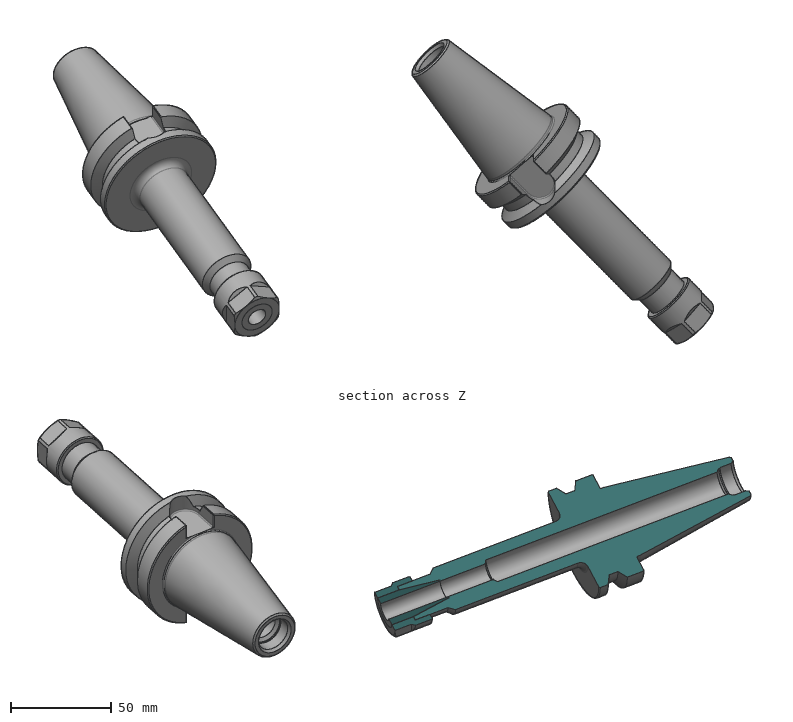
import cadquery as cq
import math

TOTAL_LENGTH = 195.5

GAUGE_X = 65.5
GAUGE_DIAMETER = 44.4
TAPER_RATIO = 7 / 24
TAPER_TIP_CHAMFER = 0.8
TAPER_ROOT_FILLET = 0.5

BORE_MOUTH_DIAMETER = 19.5
COUNTERBORE_DIAMETER = 17.5
COUNTERBORE_DEPTH = 7.8
PILOT_DIAMETER = 17.0
PILOT_END_X = 8.6
BORE_DIAMETER = 13.9
PASSAGE_DIAMETER = 9.8
BORE_END_X = 136.8
MOUTH_HALF_ANGLE = 30.0
STEP_HALF_ANGLE = 45.0
DRILL_POINT_HALF_ANGLE = 59.0

FLANGE_FACE_X = 67.2
FLANGE_END_X = 92.0
FLANGE_DIAMETER = 63.0
FLANGE_CHAMFER = 0.5
GROOVE_ROOT_DIAMETER = 53.0
GROOVE_CENTER_X = 81.9
GROOVE_ROOT_WIDTH = 4.7
GROOVE_WALL_ANGLE = 30.0
KEYWAY_WIDTH = 16.0
KEYWAY_TIP_X = 88.5
KEYWAY_FLOOR_HEIGHT = 22.5
KEYWAY_FLOOR_FILLET = 0.5
KEYWAY_RIM_CHAMFER = 0.49

SHANK_DIAMETER = 27.4
SHANK_END_X = 162.8
SHANK_FILLET = 3.7
NOSE_DIAMETER = 22.0
NOSE_START_X = 165.7
NOSE_END_X = 183.7

NUT_DIAMETER = 28.0
NUT_START_X = 175.3
NUT_REAR_CHAMFER = 0.5
NUT_FRONT_CHAMFER = 0.8
HEX_ACROSS_FLATS = 25.0
HEX_START_X = 186.5
HEX_RUNOUT_ANGLE = 42.0
HEX_SIDES = 6

COLLET_DIAMETER = 17.0
COLLET_REAR_DIAMETER = 11.1
COLLET_HALF_ANGLE = 8.0
COLLET_CONE_LENGTH = (COLLET_DIAMETER - COLLET_REAR_DIAMETER) / 2 / math.tan(math.radians(COLLET_HALF_ANGLE))
COLLET_REAR_X = NOSE_END_X - COLLET_CONE_LENGTH


def revolve_about_axis(closed_profile):
    """Turn a closed profile, drawn as (x, radius), about the X axis."""
    return closed_profile.revolve(360, (0, 0, 0), (1, 0, 0))


def turned(points):
    """Solid of revolution about X with straight-sided profile points (x, radius)."""
    return revolve_about_axis(cq.Workplane("XY").polyline(points).close())


def cone_length(large_diameter, small_diameter, half_angle):
    """Axial length of a cone between two diameters."""
    return (large_diameter - small_diameter) / 2 / math.tan(math.radians(half_angle))


def holder_blank():
    """Taper, flange, shank and nose without the bore and keyways."""
    gauge_radius = GAUGE_DIAMETER / 2
    tip_radius = gauge_radius - GAUGE_X * TAPER_RATIO / 2
    chamfer_end_radius = tip_radius + TAPER_TIP_CHAMFER * TAPER_RATIO / 2
    flange_radius = FLANGE_DIAMETER / 2
    root_radius = GROOVE_ROOT_DIAMETER / 2
    shank_radius = SHANK_DIAMETER / 2
    nose_radius = NOSE_DIAMETER / 2
    half_root = GROOVE_ROOT_WIDTH / 2
    half_mouth = half_root + (flange_radius - root_radius) * math.tan(math.radians(GROOVE_WALL_ANGLE))
    profile = (
        cq.Workplane("XY")
        .moveTo(0, 0)
        .lineTo(0, tip_radius - TAPER_TIP_CHAMFER)
        .lineTo(TAPER_TIP_CHAMFER, chamfer_end_radius)
        .lineTo(GAUGE_X, gauge_radius)
        .lineTo(FLANGE_FACE_X - TAPER_ROOT_FILLET, gauge_radius)
        .radiusArc((FLANGE_FACE_X, gauge_radius + TAPER_ROOT_FILLET), -TAPER_ROOT_FILLET)
        .lineTo(FLANGE_FACE_X, flange_radius - FLANGE_CHAMFER)
        .lineTo(FLANGE_FACE_X + FLANGE_CHAMFER, flange_radius)
        .lineTo(GROOVE_CENTER_X - half_mouth, flange_radius)
        .lineTo(GROOVE_CENTER_X - half_root, root_radius)
        .lineTo(GROOVE_CENTER_X + half_root, root_radius)
        .lineTo(GROOVE_CENTER_X + half_mouth, flange_radius)
        .lineTo(FLANGE_END_X - FLANGE_CHAMFER, flange_radius)
        .lineTo(FLANGE_END_X, flange_radius - FLANGE_CHAMFER)
        .lineTo(FLANGE_END_X, shank_radius + SHANK_FILLET)
        .radiusArc((FLANGE_END_X + SHANK_FILLET, shank_radius), -SHANK_FILLET)
        .lineTo(SHANK_END_X, shank_radius)
        .lineTo(NOSE_START_X, nose_radius)
        .lineTo(NOSE_END_X, nose_radius)
        .lineTo(NOSE_END_X, 0)
        .close()
    )
    return revolve_about_axis(profile)


def holder_bore():
    """Stepped through bore that ends in the conical collet seat."""
    mouth_end_x = cone_length(BORE_MOUTH_DIAMETER, COUNTERBORE_DIAMETER, MOUTH_HALF_ANGLE)
    step_end_x = PILOT_END_X + cone_length(PILOT_DIAMETER, BORE_DIAMETER, STEP_HALF_ANGLE)
    point_end_x = BORE_END_X + cone_length(BORE_DIAMETER, PASSAGE_DIAMETER, DRILL_POINT_HALF_ANGLE)
    return turned([
        (0, 0),
        (0, BORE_MOUTH_DIAMETER / 2),
        (mouth_end_x, COUNTERBORE_DIAMETER / 2),
        (COUNTERBORE_DEPTH, COUNTERBORE_DIAMETER / 2),
        (COUNTERBORE_DEPTH, PILOT_DIAMETER / 2),
        (PILOT_END_X, PILOT_DIAMETER / 2),
        (step_end_x, BORE_DIAMETER / 2),
        (BORE_END_X, BORE_DIAMETER / 2),
        (point_end_x, PASSAGE_DIAMETER / 2),
        (COLLET_REAR_X, PASSAGE_DIAMETER / 2),
        (COLLET_REAR_X, COLLET_REAR_DIAMETER / 2),
        (NOSE_END_X, COLLET_DIAMETER / 2),
        (NOSE_END_X, 0),
    ])


def keyway_cutter():
    """Round-ended slot cutter above the axis, with a filleted floor and a flared front mouth."""
    half_width = KEYWAY_WIDTH / 2
    flange_radius = FLANGE_DIAMETER / 2
    slot_start_x = GAUGE_X - KEYWAY_WIDTH
    slot_length = KEYWAY_TIP_X - slot_start_x
    slot = (
        cq.Workplane("XY")
        .workplane(offset=KEYWAY_FLOOR_HEIGHT)
        .center((slot_start_x + KEYWAY_TIP_X) / 2, 0)
        .slot2D(slot_length, KEYWAY_WIDTH)
        .extrude(flange_radius - KEYWAY_FLOOR_HEIGHT)
        .faces("<Z")
        .edges()
        .fillet(KEYWAY_FLOOR_FILLET)
    )
    flare = (
        cq.Workplane("XY")
        .workplane(offset=KEYWAY_FLOOR_HEIGHT)
        .polyline([
            (FLANGE_FACE_X, -half_width - KEYWAY_RIM_CHAMFER),
            (FLANGE_FACE_X + KEYWAY_RIM_CHAMFER, -half_width),
            (FLANGE_FACE_X + KEYWAY_RIM_CHAMFER, half_width),
            (FLANGE_FACE_X, half_width + KEYWAY_RIM_CHAMFER),
        ])
        .close()
        .extrude(flange_radius - KEYWAY_FLOOR_HEIGHT)
    )
    rim_height = math.sqrt(flange_radius ** 2 - half_width ** 2)
    rim = (
        cq.Workplane("YZ")
        .workplane(offset=FLANGE_FACE_X)
        .polyline([
            (-half_width, rim_height - KEYWAY_RIM_CHAMFER),
            (half_width, rim_height - KEYWAY_RIM_CHAMFER),
            (half_width + 2 * KEYWAY_RIM_CHAMFER, rim_height + KEYWAY_RIM_CHAMFER),
            (-half_width - 2 * KEYWAY_RIM_CHAMFER, rim_height + KEYWAY_RIM_CHAMFER),
        ])
        .close()
        .extrude(GROOVE_CENTER_X - FLANGE_FACE_X)
    )
    return slot.union(flare).union(rim)


def make_holder():
    holder = holder_blank().cut(holder_bore())
    for angle in (0, 180):
        holder = holder.cut(keyway_cutter().rotate((0, 0, 0), (1, 0, 0), angle))
    return holder


def hex_flat_cutter():
    """Wedge that mills one flat, with a sloping run-out at its rear."""
    flat_radius = HEX_ACROSS_FLATS / 2
    cutter_top = NUT_DIAMETER
    runout = (cutter_top - flat_radius) / math.tan(math.radians(HEX_RUNOUT_ANGLE))
    return (
        cq.Workplane("XY")
        .polyline([
            (HEX_START_X, flat_radius),
            (HEX_START_X - runout, cutter_top),
            (TOTAL_LENGTH, cutter_top),
            (TOTAL_LENGTH, flat_radius),
        ])
        .close()
        .extrude(NUT_DIAMETER / 2, both=True)
    )


def make_nut():
    nut_radius = NUT_DIAMETER / 2
    nut = turned([
        (NUT_START_X, NOSE_DIAMETER / 2),
        (NUT_START_X, nut_radius - NUT_REAR_CHAMFER),
        (NUT_START_X + NUT_REAR_CHAMFER, nut_radius),
        (TOTAL_LENGTH - NUT_FRONT_CHAMFER, nut_radius),
        (TOTAL_LENGTH, HEX_ACROSS_FLATS / 2),
        (TOTAL_LENGTH, COLLET_DIAMETER / 2),
        (NOSE_END_X, COLLET_DIAMETER / 2),
        (NOSE_END_X, NOSE_DIAMETER / 2),
    ])
    for side in range(HEX_SIDES):
        nut = nut.cut(hex_flat_cutter().rotate((0, 0, 0), (1, 0, 0), side * 360 / HEX_SIDES))
    return nut


def make_collet():
    """Conical sleeve seated in the nose, with a straight front inside the nut."""
    return turned([
        (COLLET_REAR_X, PASSAGE_DIAMETER / 2),
        (COLLET_REAR_X, COLLET_REAR_DIAMETER / 2),
        (NOSE_END_X, COLLET_DIAMETER / 2),
        (TOTAL_LENGTH, COLLET_DIAMETER / 2),
        (TOTAL_LENGTH, PASSAGE_DIAMETER / 2),
    ])


holder = make_holder()
nut = make_nut()
collet = make_collet()
result = cq.Compound.makeCompound([holder.val(), nut.val(), collet.val()])